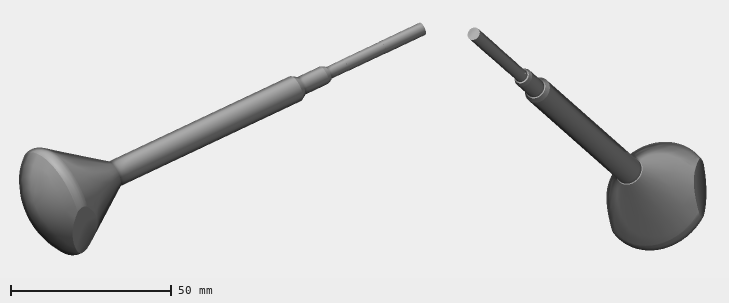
import cadquery as cq
import math

length = 146.0

sleeve_start = 15.0
sleeve_end = 29.2
collar_start = 35.7
shaft_start = 46.1
shaft_end = 116.0

tip_radius = 2.1
sleeve_radius = 2.05
neck_radius = 2.0
collar_radius = 3.0
shaft_radius = 4.25

collar_lead_length = 1.4
collar_lead_radius = 2.5
shaft_lead_length = 1.5
shaft_lead_radius = 3.4

knob_radius = 18.0
knob_base_radius = 4.6
knob_width = 30.0
dome_radius = 25.5
rim_center_station = 137.35
rim_half_width = 2.0
rim_sag = 0.6
rim_edge_radius = knob_radius - rim_sag

pin_hole_diameter = 0.7
pin_hole_station = 34.0
pin_hole_depth = 0.5


def at(radius, station):
    """Profile point at a radius, for a distance from the tip end."""
    return (length - station, radius)


def dome_point(radius):
    """Point of the spherical dome whose apex lies on the axis at Y = 0."""
    return (dome_radius - math.sqrt(dome_radius**2 - radius**2), radius)


def make_body():
    """Revolve the half profile of the whole tool about the Y axis."""
    profile = (
        cq.Workplane("YZ")
        .moveTo(*at(0, 0))
        .lineTo(*at(tip_radius, 0))
        .lineTo(*at(tip_radius, sleeve_start))
        .lineTo(*at(sleeve_radius, sleeve_start))
        .lineTo(*at(sleeve_radius, sleeve_end))
        .lineTo(*at(neck_radius, sleeve_end))
        .lineTo(*at(neck_radius, collar_start))
        .lineTo(*at(collar_lead_radius, collar_start))
        .lineTo(*at(collar_radius, collar_start + collar_lead_length))
        .lineTo(*at(collar_radius, shaft_start))
        .lineTo(*at(shaft_lead_radius, shaft_start))
        .lineTo(*at(shaft_radius, shaft_start + shaft_lead_length))
        .lineTo(*at(shaft_radius, shaft_end))
        .lineTo(*at(knob_base_radius, shaft_end))
        .lineTo(*at(rim_edge_radius, rim_center_station - rim_half_width))
        .threePointArc(at(knob_radius, rim_center_station), dome_point(rim_edge_radius))
        .threePointArc(dome_point(rim_edge_radius / 2), (0, 0))
        .close()
    )
    return profile.revolve(360, (0, 0, 0), (1, 0, 0))


def flatten_sides(body):
    """Cut the knob to two parallel flats facing -X and +X."""
    envelope = cq.Workplane("XY").box(knob_width, length, 3 * knob_radius)
    return body.intersect(envelope.translate((0, length / 2, 0)))


def drill_pin_hole(body):
    """Drill a shallow blind hole into the -X side of the neck."""
    hole = (
        cq.Workplane("YZ", origin=(-neck_radius - pin_hole_depth, 0, 0))
        .center(length - pin_hole_station, 0)
        .circle(pin_hole_diameter / 2)
        .extrude(2 * pin_hole_depth)
    )
    return body.cut(hole)


result = drill_pin_hole(flatten_sides(make_body()))